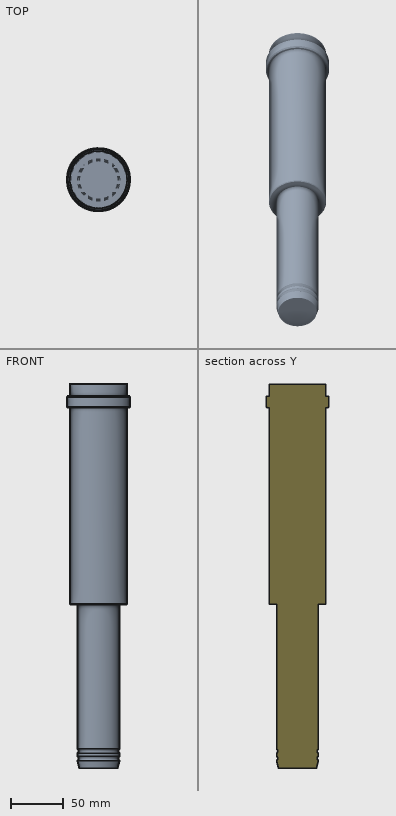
import cadquery as cq

length = 363.0
body_diameter = 54.0
collar_diameter = 60.0
shaft_diameter = 40.0

shoulder_height = 154.5
shoulder_chamfer = 0.7
collar_thickness = 11.3
head_length = 11.3
collar_chamfer = 1.0

tip_diameter = 36.3
tip_length = 7.3
groove_width = 4.0
groove_depth = 1.0
groove_centres = (9.5, 16.5)


def cylinder(diameter, bottom, top):
    return cq.Workplane("XY").workplane(offset=bottom).circle(diameter / 2).extrude(top - bottom)


def make_shaft():
    """Revolved shaft with a conical tip and shallow grooves of arc section."""
    radius = shaft_diameter / 2
    profile = cq.Workplane("XZ").lineTo(tip_diameter / 2, 0).lineTo(radius, tip_length)
    for centre in groove_centres:
        lower = centre - groove_width / 2
        upper = centre + groove_width / 2
        profile = profile.lineTo(radius, lower)
        profile = profile.threePointArc((radius - groove_depth, centre), (radius, upper))
    profile = profile.lineTo(radius, shoulder_height).lineTo(0, shoulder_height)
    return profile.close().revolve(360, (0, 0, 0), (0, 1, 0))


def make_body():
    body = cylinder(body_diameter, shoulder_height, length)
    return body.faces("<Z").edges().chamfer(shoulder_chamfer)


def make_collar():
    top = length - head_length
    collar = cylinder(collar_diameter, top - collar_thickness, top)
    return collar.edges("%CIRCLE").chamfer(collar_chamfer)


result = make_shaft().union(make_body()).union(make_collar())